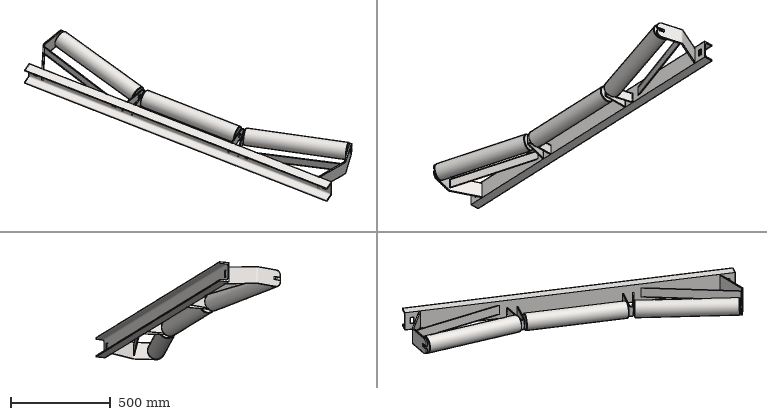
import cadquery as cq
import math


BEAM_LENGTH = 1710.0
BEAM_DEPTH = 50.0
BEAM_HEIGHT = 100.0
WEB_THICKNESS = 6.0
FLANGE_THICKNESS = 9.0
ROOT_RADIUS = 9.0
FLANGE_TIP_RADIUS = 5.0
SLOT_X = 817.0
SLOT_WIDTH = 17.0
SLOT_HEIGHT = 35.0

ROLLER_DIAMETER = 89.0
ROLLER_LENGTH = 530.0
ROLLER_EDGE_CHAMFER = 3.0
SHAFT_DIAMETER = 20.0
SHAFT_ACROSS_FLATS = 15.0
END_CLEARANCE = 5.0

OUTER_HEIGHT = 85.0
INNER_HEIGHT = 55.0
INNER_THICKNESS = 6.0
OUTER_THICKNESS = 7.7
BRACE_THICKNESS = 5.0
BRACE_HEIGHT = 51.0
INNER_BEND_RADIUS = 9.0
OUTER_BEND_RADIUS = 14.0
TIP_LENGTH = 30.0
TIP_CORNER_RADIUS = 25.0

TROUGH_ANGLE = 15.0
OUTER_FOOT_ANGLE = 25.0
OUTER_FOOT_X = -780.0
BRACE_FOOT_X = -375.0
CENTRE_ROLLER_Y = 166.0
CENTRE_ROLLER_DROP = 20.0
SIDE_AXIS_X = -295.0
SIDE_AXIS_Y = 170.0

INNER_REACH = ROLLER_LENGTH / 2 + END_CLEARANCE + INNER_THICKNESS / 2
OUTER_REACH = ROLLER_LENGTH / 2 + END_CLEARANCE + OUTER_THICKNESS / 2
SIDE_SPAN = INNER_REACH + OUTER_REACH

TROUGH = math.radians(TROUGH_ANGLE)
AXIS_DIRECTION = cq.Vector(-math.cos(TROUGH), math.sin(TROUGH))
PLATE_DIRECTION = cq.Vector(math.sin(TROUGH), math.cos(TROUGH))

INNER_PIVOT = cq.Vector(SIDE_AXIS_X, SIDE_AXIS_Y)
OUTER_PIVOT = INNER_PIVOT + AXIS_DIRECTION * SIDE_SPAN

SIDE_TILT = math.degrees(math.asin(CENTRE_ROLLER_DROP / SIDE_SPAN))

FOOT_EXCESS = 17.0


def meeting_point(point_a, direction_a, point_b, direction_b):
    """Point where two lines in the XY plane cross."""
    gap = point_b - point_a
    crossing = direction_a.cross(direction_b).z
    return point_a + direction_a * (gap.cross(direction_b).z / crossing)


def flat_point(vector):
    """X and Y of a vector."""
    return vector.x, vector.y


def bar_along_x(profile, length):
    """Extrude a YZ profile along X, centred on X = 0."""
    return profile.extrude(length).translate((-length / 2, 0, 0))


def upright_plate(outline, height, middle_z):
    """Extrude an XY outline to a plate of the given height and trim it flush with the back of the beam."""
    plate = outline.close().extrude(height).translate((0, 0, middle_z - height / 2))
    beam_space = cq.Workplane("XY").box(BEAM_LENGTH, 2 * BEAM_DEPTH, 2 * BEAM_HEIGHT)
    return plate.cut(beam_space)


def bent_plate_outline(start, corner, end, bend_radius, thickness):
    """Outline of a plate whose mid-line runs from start to end with one round bend in place of the corner."""
    to_start = (start - corner).normalized()
    to_end = (end - corner).normalized()
    bisector = (to_start + to_end).normalized()
    half_angle = to_start.getAngle(to_end) / 2
    centre = corner + bisector * (bend_radius / math.sin(half_angle))
    tangent_length = bend_radius / math.tan(half_angle)

    start_normal = (corner + to_start * tangent_length - centre).normalized()
    end_normal = (corner + to_end * tangent_length - centre).normalized()
    half = thickness / 2
    outside = bend_radius + half
    inside = bend_radius - half

    return (
        cq.Workplane("XY")
        .moveTo(*flat_point(start + start_normal * half))
        .lineTo(*flat_point(centre + start_normal * outside))
        .threePointArc(flat_point(centre - bisector * outside), flat_point(centre + end_normal * outside))
        .lineTo(*flat_point(end + end_normal * half))
        .lineTo(*flat_point(end - end_normal * half))
        .lineTo(*flat_point(centre + end_normal * inside))
        .threePointArc(flat_point(centre - bisector * inside), flat_point(centre + start_normal * inside))
        .lineTo(*flat_point(start - start_normal * half))
    )


def on_left_axis(local):
    """Move a shape whose X = 0 is the inner pivot, pointing to -X, onto the left roller axis."""
    tilted = local.rotate((0, 0, 0), (0, 1, 0), SIDE_TILT)
    turned = tilted.rotate((0, 0, 0), (0, 0, 1), -TROUGH_ANGLE)
    return turned.translate((INNER_PIVOT.x, INNER_PIVOT.y, -CENTRE_ROLLER_DROP))


def for_side(left_body, side):
    """The body itself for the left side (-1) or its mirror image for the right side (1)."""
    return left_body if side < 0 else left_body.mirror("YZ")


def shaft(end_a, end_b):
    """Shaft along X from end_a to end_b, with flats above and below."""
    length = abs(end_b - end_a)
    bar = bar_along_x(cq.Workplane("YZ").circle(SHAFT_DIAMETER / 2), length)
    flats = cq.Workplane("XY").box(length, SHAFT_DIAMETER, SHAFT_ACROSS_FLATS)
    return bar.intersect(flats).translate(((end_a + end_b) / 2, 0, 0))


def roller_barrel():
    """Roller barrel along X, centred on the origin."""
    barrel = bar_along_x(cq.Workplane("YZ").circle(ROLLER_DIAMETER / 2), ROLLER_LENGTH)
    return barrel.faces("<X or >X").edges().chamfer(ROLLER_EDGE_CHAMFER)


def centre_shaft():
    """Shaft of the centre roller, flush with the far faces of both inner legs."""
    half_length = INNER_REACH + INNER_THICKNESS / 2
    return shaft(-half_length, half_length).translate((0, CENTRE_ROLLER_Y, -CENTRE_ROLLER_DROP))


def left_shaft():
    """Shaft of the left roller, flush with the far faces of the inner leg and the outer plate."""
    return on_left_axis(shaft(-SIDE_SPAN - OUTER_THICKNESS / 2, INNER_THICKNESS / 2))


def make_beam():
    """Channel beam, open towards -Y, with an upright slot near each end of the web."""
    half_height = BEAM_HEIGHT / 2
    beam = cq.Workplane("XY").box(BEAM_LENGTH, BEAM_DEPTH, BEAM_HEIGHT).translate((0, BEAM_DEPTH / 2, 0))
    inside_depth = BEAM_DEPTH - WEB_THICKNESS
    channel = (
        cq.Workplane("XY")
        .box(BEAM_LENGTH, inside_depth, BEAM_HEIGHT - 2 * FLANGE_THICKNESS)
        .edges("|X and >Y")
        .fillet(ROOT_RADIUS)
        .translate((0, inside_depth / 2, 0))
    )
    beam = beam.cut(channel)
    inner_tips = cq.selectors.BoxSelector(
        (-BEAM_LENGTH, -FLANGE_TIP_RADIUS, -half_height + FLANGE_TIP_RADIUS),
        (BEAM_LENGTH, FLANGE_TIP_RADIUS, half_height - FLANGE_TIP_RADIUS),
    )
    beam = beam.edges("|X").edges(inner_tips).fillet(FLANGE_TIP_RADIUS)
    slots = (
        cq.Workplane("XZ")
        .pushPoints([(-SLOT_X, 0), (SLOT_X, 0)])
        .rect(SLOT_WIDTH, SLOT_HEIGHT)
        .extrude(-BEAM_DEPTH)
    )
    return beam.cut(slots)


def make_centre_roller():
    """Level roller between the two inner brackets, barrel and shaft in one."""
    return roller_barrel().translate((0, CENTRE_ROLLER_Y, -CENTRE_ROLLER_DROP)).union(centre_shaft())


def make_side_roller(side):
    """Tilted roller between an inner and an outer bracket, barrel and shaft in one."""
    barrel = on_left_axis(roller_barrel().translate((-INNER_REACH, 0, 0)))
    return for_side(barrel.union(left_shaft()), side)


def make_inner_bracket(side):
    """Narrow bent plate that holds the centre roller on one leg and a side roller on the other."""
    upright_foot = cq.Vector(-INNER_REACH, BEAM_DEPTH - FOOT_EXCESS)
    upright = cq.Vector(0, 1)
    corner = meeting_point(upright_foot, upright, INNER_PIVOT, PLATE_DIRECTION)
    slanted_length = (INNER_PIVOT.y - upright_foot.y) / PLATE_DIRECTION.y
    slanted_foot = INNER_PIVOT - PLATE_DIRECTION * slanted_length
    outline = bent_plate_outline(upright_foot, corner, slanted_foot, INNER_BEND_RADIUS, INNER_THICKNESS)
    bracket = upright_plate(outline, INNER_HEIGHT, -CENTRE_ROLLER_DROP)
    return for_side(bracket.cut(centre_shaft()).cut(left_shaft()), side)


def outer_bracket_corners():
    """Foot, bend corner and tip of the mid-line of the left outer bracket."""
    foot_angle = math.radians(OUTER_FOOT_ANGLE)
    leg_direction = cq.Vector(-math.sin(foot_angle), math.cos(foot_angle))
    foot = cq.Vector(OUTER_FOOT_X, BEAM_DEPTH)
    corner = meeting_point(foot, leg_direction, OUTER_PIVOT, PLATE_DIRECTION)
    tip = OUTER_PIVOT + PLATE_DIRECTION * TIP_LENGTH
    return foot - leg_direction * FOOT_EXCESS, corner, tip


def left_outer_bracket():
    """Bent plate with a rounded tip, slotted from the tip to take the outer shaft end."""
    foot, corner, tip = outer_bracket_corners()
    outline = bent_plate_outline(foot, corner, tip, OUTER_BEND_RADIUS, OUTER_THICKNESS)
    bracket = upright_plate(outline, OUTER_HEIGHT, 0)
    for z in (-OUTER_HEIGHT / 2, OUTER_HEIGHT / 2):
        short_edge = cq.selectors.NearestToPointSelector((tip.x, tip.y, z))
        bracket = bracket.edges(short_edge).fillet(TIP_CORNER_RADIUS)
    slot = on_left_axis(
        cq.Workplane("XY")
        .box(2 * OUTER_THICKNESS, OUTER_HEIGHT, SHAFT_ACROSS_FLATS)
        .translate((-SIDE_SPAN, OUTER_HEIGHT / 2, 0))
    )
    return bracket.cut(slot).cut(left_shaft())


def make_outer_bracket(side):
    """Outer bracket of one side."""
    return for_side(left_outer_bracket(), side)


def make_brace(side):
    """Flat brace from the back of the beam to the bend of the outer bracket."""
    corner = outer_bracket_corners()[1]
    foot = cq.Vector(BRACE_FOOT_X, BEAM_DEPTH)
    direction = (corner - foot).normalized()
    across = cq.Vector(-direction.y, direction.x) * (BRACE_THICKNESS / 2)
    low_end = foot - direction * FOOT_EXCESS
    outline = cq.Workplane("XY").polyline(
        [flat_point(p) for p in (low_end + across, corner + across, corner - across, low_end - across)]
    )
    return for_side(upright_plate(outline, BRACE_HEIGHT, 0).cut(left_outer_bracket()), side)


bodies = [make_beam(), make_centre_roller()]
for side in (-1, 1):
    bodies.append(make_side_roller(side))
    bodies.append(make_inner_bracket(side))
    bodies.append(make_outer_bracket(side))
    bodies.append(make_brace(side))

result = cq.Compound.makeCompound([body.solids().val() for body in bodies])